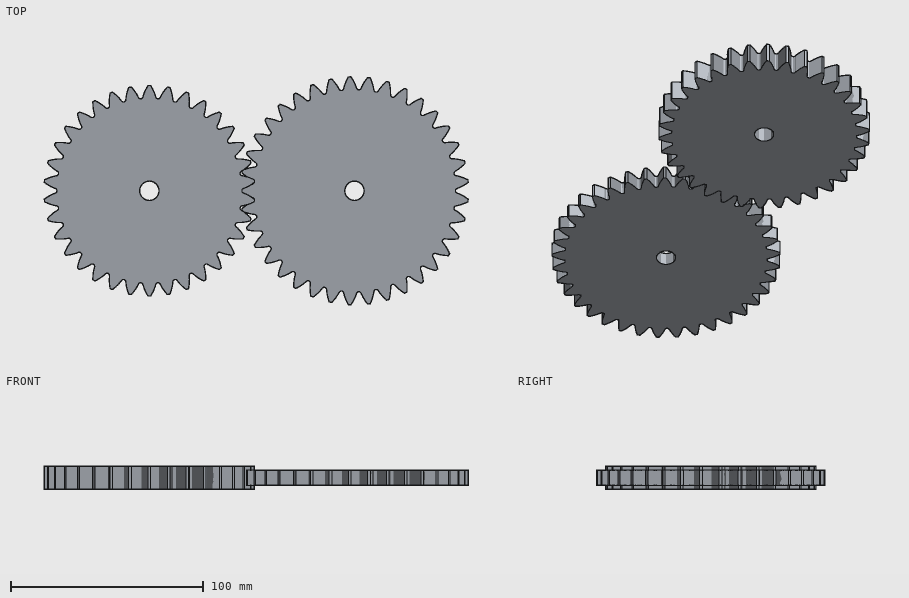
import cadquery as cq
import math

small_teeth = 34
large_teeth = 37
pressure_angle = math.radians(25)
addendum_factor = 1.25
dedendum_factor = 1.0
tooth_thickness = 5.3
root_rounding = 0.7
flank_points = 6

large_tip_diameter = 118.5
module = large_tip_diameter / (large_teeth + 2 * addendum_factor)
center_distance = module * (small_teeth + large_teeth) / 2

face_width_factor = 4
small_thickness = face_width_factor * module
large_thickness = small_thickness * 2 / 3
bore_diameter = 10.0


def involute(angle):
    return math.tan(angle) - angle


def polar(radius, angle):
    return (radius * math.cos(angle), radius * math.sin(angle))


def gear_outline(teeth, first_tooth_angle, bottom):
    """Closed outline: each tooth has two involute flanks, a tip arc and a rounded root."""
    pitch_radius = module * teeth / 2
    base_radius = pitch_radius * math.cos(pressure_angle)
    tip_radius = pitch_radius + addendum_factor * module
    root_radius = pitch_radius - dedendum_factor * module
    flank_start = root_radius + root_rounding
    tooth_pitch = 2 * math.pi / teeth

    def half_tooth_angle(radius):
        half_angle_at_pitch = tooth_thickness / 2 / pitch_radius
        return half_angle_at_pitch + involute(pressure_angle) - involute(math.acos(base_radius / radius))

    radius_step = (tip_radius - flank_start) / (flank_points - 1)
    radii = [flank_start + i * radius_step for i in range(flank_points)]

    outline = cq.Workplane("XY", origin=(0, 0, bottom))
    outline = outline.moveTo(*polar(flank_start, first_tooth_angle - half_tooth_angle(flank_start)))
    for i in range(teeth):
        middle = first_tooth_angle + i * tooth_pitch
        rising = [polar(r, middle - half_tooth_angle(r)) for r in radii]
        falling = [polar(r, middle + half_tooth_angle(r)) for r in reversed(radii)]
        next_flank_angle = middle + tooth_pitch - half_tooth_angle(flank_start)
        root_bottom = polar(root_radius, middle + tooth_pitch / 2)
        outline = outline.spline(rising[1:], includeCurrent=True)
        outline = outline.threePointArc(polar(tip_radius, middle), falling[0])
        outline = outline.spline(falling[1:], includeCurrent=True)
        outline = outline.threePointArc(root_bottom, polar(flank_start, next_flank_angle))
    return outline.close()


def make_gear(teeth, thickness, first_tooth_angle):
    """Spur gear on the Z axis, centred on the XY plane, with a plain bore."""
    bottom = -thickness / 2
    blank = gear_outline(teeth, first_tooth_angle, bottom).extrude(thickness)
    bore = cq.Workplane("XY", origin=(0, 0, bottom)).circle(bore_diameter / 2).extrude(thickness)
    return blank.cut(bore)


small_gear = make_gear(small_teeth, small_thickness, math.pi / small_teeth)

large_gear = make_gear(large_teeth, large_thickness, math.pi).translate((center_distance, 0, 0))
large_gear = large_gear.cut(small_gear)

result = cq.Compound.makeCompound([small_gear.val(), large_gear.val()])